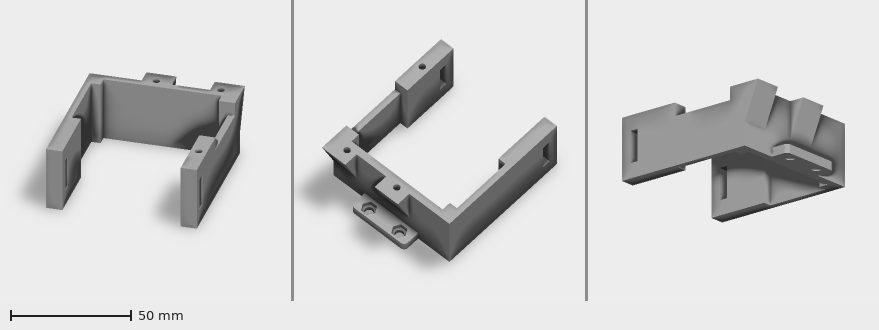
import cadquery as cq

width = 65.0
height = 28.0
frame_length = 66.5
half_width = width / 2

beam_thickness = 3.5
arm_thickness = 7.0
wall_thickness = 3.0
arm_end_length = 28.5
post_front = 58.5
lowered_wall_height = 22.0

slot_front = 4.5
slot_width = 4.0
slot_bottom = 6.8
slot_height = 14.3

block_width = 13.0
block_depth = 7.1
block_height = 17.4
block_left_edges = (-10.0, half_width - block_width)

screw_diameter = 3.1
screw_depth = 10.0
screw_positions = ((-4.0, 67.6), (23.9, 67.6), (29.0, 15.5))

tab_width = 30.0
tab_depth = 8.5
tab_thickness = 4.0
tab_corner_radius = 2.0
bolt_diameter = 4.0
bolt_spacing = 17.0
bolt_y = 71.0
nut_across_corners = 7.0
nut_pocket_depth = 2.0


def box(x_min, x_max, y_min, y_max, z_min, z_max):
    """Axis-aligned box given by its limits."""
    size = (x_max - x_min, y_max - y_min, z_max - z_min)
    return cq.Workplane("XY").box(*size, centered=False).translate((x_min, y_min, z_min))


def make_frame():
    """Beam and arms, with a recess in each arm between its end and the corner post."""
    inner = half_width - arm_thickness
    recess = half_width - wall_thickness
    frame = box(-half_width, half_width, 0, frame_length, 0, height)
    frame = frame.cut(box(-inner, inner, 0, frame_length - beam_thickness, 0, height))
    frame = frame.cut(box(-recess, recess, arm_end_length, post_front, 0, height))
    return frame.cut(box(recess, half_width, arm_end_length, post_front, lowered_wall_height, height))


def make_block(left_edge):
    """Screw block whose underside slopes back down to the beam."""
    return (
        cq.Workplane("YZ", origin=(left_edge, 0, 0))
        .moveTo(frame_length - beam_thickness, height)
        .lineTo(frame_length + block_depth, height)
        .lineTo(frame_length, height - block_height)
        .lineTo(frame_length - beam_thickness, height - block_height)
        .close()
        .extrude(block_width)
    )


def make_tab():
    """Rounded tab behind the beam with two bolt holes and hexagonal nut pockets."""
    tab = box(
        -tab_width / 2, tab_width / 2,
        frame_length - beam_thickness, frame_length + tab_depth,
        0, tab_thickness,
    )
    tab = tab.edges("|Z and >Y").fillet(tab_corner_radius)
    bolt_points = [(-bolt_spacing / 2, bolt_y), (bolt_spacing / 2, bolt_y)]
    bolt_holes = cq.Workplane("XY").pushPoints(bolt_points).circle(bolt_diameter / 2).extrude(tab_thickness)
    nut_pockets = (
        cq.Workplane("XY", origin=(0, 0, tab_thickness))
        .pushPoints(bolt_points)
        .polygon(6, nut_across_corners)
        .extrude(-nut_pocket_depth)
    )
    return tab.cut(bolt_holes).cut(nut_pockets)


def make_screw_holes():
    """Blind holes drilled down from the top."""
    return (
        cq.Workplane("XY", origin=(0, 0, height))
        .pushPoints(screw_positions)
        .circle(screw_diameter / 2)
        .extrude(-screw_depth)
    )


def make_slots():
    """Rectangular slot running through both arm ends along X."""
    return box(
        -half_width, half_width,
        slot_front, slot_front + slot_width,
        slot_bottom, slot_bottom + slot_height,
    )


result = make_frame()
for left_edge in block_left_edges:
    result = result.union(make_block(left_edge))
result = result.union(make_tab())
result = result.cut(make_screw_holes())
result = result.cut(make_slots())